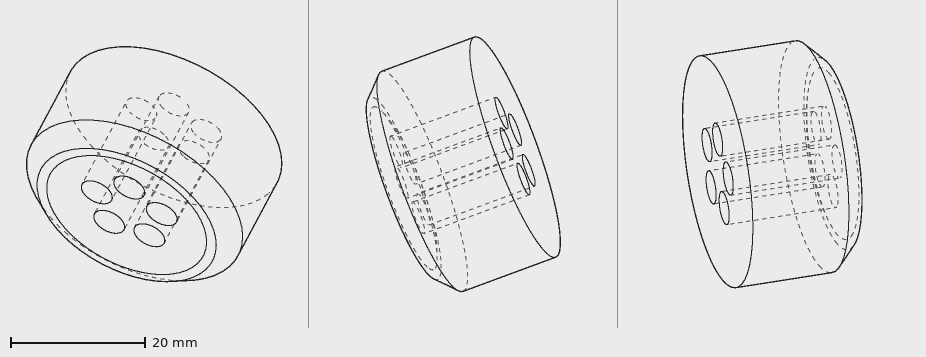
import cadquery as cq
import math

outer_diameter = 35.0
thickness = 18.0
edge_chamfer = 3.0

dish_floor_diameter = 17.16
dish_depth = 1.0
dish_flank_radius = 10.0

hole_count = 5
hole_diameter = 5.0
hole_circle_radius = 5.52
first_hole_angle = 90.0


def make_body():
    """Disc from Y = 0 (front face) to Y = thickness, chamfered at the front edge."""
    disc = cq.Workplane("XZ").circle(outer_diameter / 2).extrude(-thickness)
    return disc.faces("<Y").edges().chamfer(edge_chamfer)


def make_dish():
    """Recess volume whose flank is an arc, tangent to the floor, revolved about the Y axis."""
    floor_radius = dish_floor_diameter / 2
    arc_centre_y = dish_depth - dish_flank_radius
    flank_angle = math.acos(-arc_centre_y / dish_flank_radius)

    def flank_point(angle):
        return (
            floor_radius + dish_flank_radius * math.sin(angle),
            arc_centre_y + dish_flank_radius * math.cos(angle),
        )

    profile = (
        cq.Workplane("XY")
        .lineTo(0, dish_depth)
        .lineTo(floor_radius, dish_depth)
        .threePointArc(flank_point(flank_angle / 2), flank_point(flank_angle))
        .close()
    )
    return profile.revolve(360, (0, 0, 0), (0, 1, 0))


def make_holes():
    """Round through holes evenly spaced about the axis, the first one straight above it."""
    return (
        cq.Workplane("XZ")
        .polarArray(hole_circle_radius, first_hole_angle, 360, hole_count)
        .circle(hole_diameter / 2)
        .extrude(-thickness)
    )


result = make_body().cut(make_dish()).cut(make_holes())